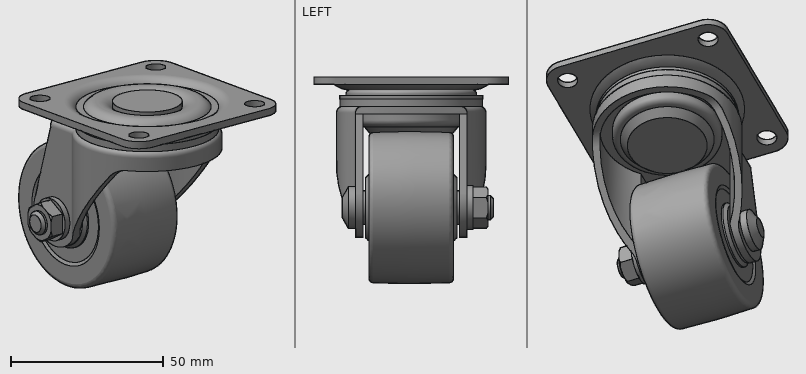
import cadquery as cq
import math


plate_side = 64.0
plate_thickness = 2.5
plate_corner_radius = 7.0
plate_hole_radius = 3.3
plate_hole_pitch = 50.0
groove_depth = 2.0
groove_crest_outer = 27.15
groove_floor_outer = 23.45
groove_floor_inner = 21.0
groove_crest_inner = 17.2
bowl_crest_radius = 16.0
boss_radius = 11.5
dish_top_radius = 25.4
dish_bottom_radius = 20.2
dish_bottom_z = -4.35

neck_round_radius = 1.3
cap_radius = 23.5
cap_lip_height = 1.2
cap_skirt_radius = 23.45
cap_top_z = -6.1

fork_top_z = -9.75
fork_thickness = 2.5
fork_bend_radius = 2.0
crown_radius = 24.6
crown_bottom_z = -16.2
leg_outer_y = 18.3
leg_blend_radius = 3.45
front_edge_x = -30.1
leg_front_x = -27.6
foot_center_x = -25.2
foot_center_z = -41.9
foot_radius = 10.8
rear_edge_angle = 50.0
rear_edge_blend = 7.4
race_radius = 18.0
race_bottom_z = -16.4
race_round = 2.05
race_cone_top_radius = 15.4
race_cone_bottom_radius = 13.1
race_cone_bottom_z = -19.2

axle_x = -25.0
axle_z = -43.0
wheel_radius = 25.0
wheel_half_width = 13.9
tread_crown = 0.3
tread_edge_round = 1.55
recess_outer_radius = 17.05
recess_inner_radius = 15.9
recess_depth = 0.6
hub_radius = 11.0
hub_half_width = 15.1
spacer_radius = 5.6

bolt_radius = 4.0
bolt_head_radius = 6.9
bolt_head_rim = 2.4
bolt_head_height = 4.4
bolt_head_end_radius = 3.3
bolt_tip_y = -27.1
bolt_tip_chamfer = 1.1
nut_flange_radius = 7.2
nut_flange_thickness = 2.05
nut_height = 4.9
nut_across_flats = 11.8
nut_end_radius = 6.1
nut_corner_drop = 0.6

leg_inner_y = leg_outer_y - fork_thickness
fork_ceiling_z = fork_top_z - fork_thickness
neck_radius = dish_bottom_radius + neck_round_radius
hub_chamfer = hub_half_width - wheel_half_width
far = 82.0


def level_arc_middle(level_point, end_point):
    """Middle point of the arc that leaves level_point horizontally and reaches end_point."""
    level_x, level_z = level_point
    run = end_point[0] - level_x
    rise = end_point[1] - level_z
    bend = (run**2 + rise**2) / (2 * abs(rise))
    half_turn = math.atan2(abs(rise), abs(run))
    middle_run = bend * math.sin(half_turn)
    middle_rise = bend * (1 - math.cos(half_turn))
    return (level_x + math.copysign(middle_run, run), level_z + math.copysign(middle_rise, rise))


def revolve_about_z(profile):
    return profile.close().revolve(360, (0, 0, 0), (0, 1, 0))


def make_plate():
    plate = (
        cq.Workplane("XY")
        .rect(plate_side, plate_side)
        .extrude(-plate_thickness)
        .edges("|Z")
        .fillet(plate_corner_radius)
    )
    plate = (
        plate.faces(">Z")
        .workplane()
        .rect(plate_hole_pitch, plate_hole_pitch, forConstruction=True)
        .vertices()
        .hole(2 * plate_hole_radius)
    )
    dish_rim = (dish_top_radius, -plate_thickness)
    dish_bottom = (dish_bottom_radius, dish_bottom_z)
    dish = revolve_about_z(
        cq.Workplane("XZ")
        .lineTo(dish_top_radius, 0)
        .lineTo(*dish_rim)
        .threePointArc(level_arc_middle(dish_bottom, dish_rim), dish_bottom)
        .lineTo(0, dish_bottom_z)
    )
    outer_crest = (groove_crest_outer, 0)
    outer_foot = (groove_floor_outer, -groove_depth)
    inner_foot = (groove_floor_inner, -groove_depth)
    inner_crest = (groove_crest_inner, 0)
    groove = revolve_about_z(
        cq.Workplane("XZ")
        .moveTo(*outer_crest)
        .threePointArc(level_arc_middle(outer_crest, outer_foot), outer_foot)
        .lineTo(*inner_foot)
        .threePointArc(level_arc_middle(inner_crest, inner_foot), inner_crest)
    )
    bowl_crest = (bowl_crest_radius, 0)
    bowl_foot = (boss_radius, -groove_depth)
    bowl = revolve_about_z(
        cq.Workplane("XZ")
        .moveTo(*bowl_crest)
        .threePointArc(level_arc_middle(bowl_crest, bowl_foot), bowl_foot)
        .lineTo(boss_radius, 0)
    )
    return plate.union(dish).cut(groove).cut(bowl)


def make_fork_shell():
    """Round crown with two flat legs, bent from one sheet and open toward the wheel."""

    def plan(radius, half_width, top_z):
        crown = cq.Workplane("XY").workplane(offset=top_z).circle(radius).extrude(-far)
        legs = (
            cq.Workplane("XY")
            .workplane(offset=top_z)
            .rect(2 * far, 2 * half_width)
            .extrude(-far)
            .intersect(cq.Workplane("XY").box(far, far, 4 * far).translate((-far / 2, 0, 0)))
        )
        return crown.union(legs)

    corner_x = -math.sqrt(crown_radius**2 - leg_outer_y**2)
    blend_box = cq.selectors.BoxSelector(
        (corner_x - 0.8, -far, -2 * far), (corner_x + 0.8, far, far)
    )
    outside = plan(crown_radius, leg_outer_y, fork_top_z).edges("|Z").edges(blend_box)
    outside = outside.fillet(leg_blend_radius).faces(">Z").edges().fillet(fork_bend_radius)
    inside = plan(crown_radius - fork_thickness, leg_inner_y, fork_ceiling_z)
    return outside.cut(inside)


def make_fork_side_outline():
    """Side outline of crown and legs, as a prism across Y."""
    slope = math.radians(rear_edge_angle)
    rear_x = foot_center_x + foot_radius * math.sin(slope)
    rear_z = foot_center_z - foot_radius * math.cos(slope)
    corner_x = rear_x + (crown_bottom_z - rear_z) / math.tan(slope)
    reach_x = leg_front_x - foot_center_x
    reach_z = fork_ceiling_z - foot_center_z
    tangent_angle = math.atan2(reach_z, reach_x) + math.acos(foot_radius / math.hypot(reach_x, reach_z))
    front_x = foot_center_x + foot_radius * math.cos(tangent_angle)
    front_z = foot_center_z + foot_radius * math.sin(tangent_angle)
    outline = (
        cq.Workplane("XZ")
        .moveTo(-far, fork_top_z)
        .lineTo(far, fork_top_z)
        .lineTo(far, crown_bottom_z)
        .lineTo(corner_x, crown_bottom_z)
        .lineTo(rear_x, rear_z)
        .threePointArc((foot_center_x, foot_center_z - foot_radius), (front_x, front_z))
        .lineTo(leg_front_x, fork_ceiling_z)
        .lineTo(-far, fork_ceiling_z)
        .close()
        .extrude(far, both=True)
    )
    at_corner = cq.selectors.BoxSelector(
        (corner_x - 0.8, -2 * far, crown_bottom_z - 0.8), (corner_x + 0.8, 2 * far, crown_bottom_z + 0.8)
    )
    return outline.edges("|Y").edges(at_corner).fillet(rear_edge_blend)


def make_fork_front_limit():
    """Everything behind the bowed front edge of the crown, which ends at the legs."""
    crown_part = (
        cq.Workplane("XY")
        .workplane(offset=fork_ceiling_z)
        .moveTo(leg_front_x, -leg_outer_y)
        .threePointArc((front_edge_x, 0), (leg_front_x, leg_outer_y))
        .lineTo(leg_front_x, far)
        .lineTo(far, far)
        .lineTo(far, -far)
        .lineTo(leg_front_x, -far)
        .close()
        .extrude(fork_thickness)
    )
    leg_part = (
        cq.Workplane("XY")
        .workplane(offset=fork_ceiling_z)
        .rect(2 * far, 2 * far)
        .extrude(-far)
    )
    return crown_part.union(leg_part)


def make_swivel_head():
    """Neck and dust cap above the crown, and the ball race below it."""
    cap_lip_z = cap_top_z - cap_lip_height
    neck_round_start = (dish_bottom_radius, dish_bottom_z)
    neck_round_end = (neck_radius, dish_bottom_z - neck_round_radius)
    upper = revolve_about_z(
        cq.Workplane("XZ")
        .moveTo(0, dish_bottom_z)
        .lineTo(*neck_round_start)
        .threePointArc(level_arc_middle(neck_round_start, neck_round_end), neck_round_end)
        .lineTo(neck_radius, cap_top_z)
        .lineTo(cap_radius, cap_top_z)
        .lineTo(cap_radius, cap_lip_z)
        .lineTo(cap_skirt_radius, cap_lip_z)
        .lineTo(cap_skirt_radius, fork_top_z)
        .lineTo(0, fork_top_z)
    )
    race = (
        cq.Workplane("XY")
        .workplane(offset=race_bottom_z)
        .circle(race_radius)
        .extrude(fork_top_z - race_bottom_z - fork_thickness / 2)
        .faces("<Z")
        .edges()
        .fillet(race_round)
    )
    cone = revolve_about_z(
        cq.Workplane("XZ")
        .moveTo(0, race_bottom_z)
        .lineTo(race_cone_top_radius, race_bottom_z)
        .lineTo(race_cone_bottom_radius, race_cone_bottom_z)
        .lineTo(0, race_cone_bottom_z)
    )
    return upper, race.union(cone)


def along_axle(start_y, radius, length):
    """Cylinder on the wheel axle, running toward -Y from start_y."""
    return (
        cq.Workplane("XZ", origin=(axle_x, start_y, axle_z)).circle(radius).extrude(length)
    )


def make_fork():
    fork = make_fork_shell().intersect(make_fork_side_outline()).intersect(make_fork_front_limit())
    upper, race = make_swivel_head()
    return fork.union(upper).union(race).cut(along_axle(far, bolt_radius, 2 * far))


def revolve_about_axle(profile):
    """Revolve a profile of (radius, Y) about the wheel axle."""
    return (
        profile.close()
        .revolve(360, (0, 0, 0), (0, 1, 0))
        .translate((axle_x, 0, axle_z))
    )


def make_wheel():
    edge_radius = wheel_radius - tread_crown
    tire = revolve_about_axle(
        cq.Workplane("XY")
        .moveTo(0, -wheel_half_width)
        .lineTo(edge_radius, -wheel_half_width)
        .threePointArc((wheel_radius, 0), (edge_radius, wheel_half_width))
        .lineTo(0, wheel_half_width)
    )
    tire = tire.faces("<Y or >Y").edges().fillet(tread_edge_round)
    hub = along_axle(hub_half_width, hub_radius, 2 * hub_half_width).edges().chamfer(hub_chamfer)
    spacer = along_axle(leg_inner_y, spacer_radius, 2 * leg_inner_y)
    recess = revolve_about_axle(
        cq.Workplane("XY")
        .moveTo(0, wheel_half_width)
        .lineTo(recess_outer_radius, wheel_half_width)
        .lineTo(recess_inner_radius, wheel_half_width - recess_depth)
        .lineTo(0, wheel_half_width - recess_depth)
    )
    wheel = tire.cut(recess).cut(recess.mirror("XZ")).union(hub).union(spacer)
    return wheel.cut(along_axle(far, bolt_radius, 2 * far))


def make_bolt():
    rim_y = leg_outer_y + bolt_head_rim
    head_end_y = leg_outer_y + bolt_head_height
    return revolve_about_axle(
        cq.Workplane("XY")
        .moveTo(0, head_end_y)
        .lineTo(bolt_head_end_radius, head_end_y)
        .lineTo(bolt_head_radius, rim_y)
        .lineTo(bolt_head_radius, leg_outer_y)
        .lineTo(bolt_radius, leg_outer_y)
        .lineTo(bolt_radius, bolt_tip_y + bolt_tip_chamfer)
        .lineTo(bolt_radius - bolt_tip_chamfer, bolt_tip_y)
        .lineTo(0, bolt_tip_y)
    )


def make_nut():
    flange = along_axle(-leg_outer_y, nut_flange_radius, nut_flange_thickness)
    hex_start_y = -leg_outer_y - nut_flange_thickness
    hex_end_y = hex_start_y - nut_height
    corner_radius = nut_across_flats / math.sqrt(3)
    hexagon = (
        cq.Workplane("XZ", origin=(axle_x, hex_start_y, axle_z))
        .polygon(6, 2 * corner_radius)
        .extrude(nut_height)
        .rotate((axle_x, 0, axle_z), (axle_x, 1, axle_z), 30)
    )
    corner_limit = revolve_about_axle(
        cq.Workplane("XY")
        .moveTo(0, hex_start_y)
        .lineTo(corner_radius, hex_start_y)
        .lineTo(corner_radius, hex_end_y + nut_corner_drop)
        .lineTo(nut_end_radius, hex_end_y)
        .lineTo(0, hex_end_y)
    )
    nut = flange.union(hexagon.intersect(corner_limit))
    return nut.cut(along_axle(far, bolt_radius, 2 * far))


plate = make_plate()
fork = make_fork()
wheel = make_wheel()
bolt = make_bolt()
nut = make_nut()

result = cq.Compound.makeCompound([plate.val(), fork.val(), wheel.val(), bolt.val(), nut.val()])